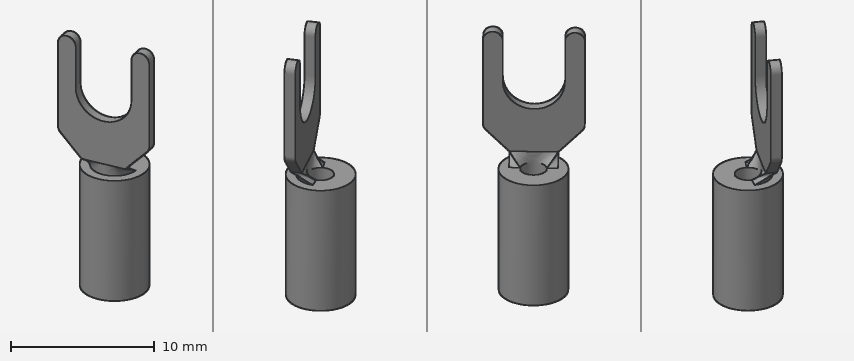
import cadquery as cq
import math


total_height = 19.79
fork_width = 7.11

sleeve_diameter = 4.88
sleeve_height = 9.51
bore_diameter = 1.86

sheet_thickness = 0.79
neck_height = 0.85
neck_end_angle = 5.0
slot_width = 4.34
slot_bottom_z = 13.73
shoulder_z = 12.25
shoulder_radius = 0.69

bore_radius = bore_diameter / 2
neck_radius = bore_radius + sheet_thickness
blade_back_y = -bore_radius
blade_front_y = -neck_radius
blade_base_z = sleeve_height + neck_height
half_fork = fork_width / 2
half_slot = slot_width / 2
tip_radius = (half_fork - half_slot) / 2
tip_center_z = total_height - tip_radius
prong_center_x = half_slot + tip_radius
slot_center_z = slot_bottom_z + half_slot


def make_sleeve():
    """Round tube with a through bore, standing on Z = 0."""
    return (
        cq.Workplane("XY")
        .circle(sleeve_diameter / 2)
        .circle(bore_radius)
        .extrude(sleeve_height)
    )


def make_blade():
    """Flat fork with round prong tips, a round-bottomed slot and tapered flanks."""
    outline = (
        cq.Workplane("XZ", origin=(0, blade_back_y, 0))
        .moveTo(-neck_radius, blade_base_z)
        .lineTo(neck_radius, blade_base_z)
        .lineTo(half_fork, shoulder_z)
        .lineTo(half_fork, tip_center_z)
        .threePointArc((prong_center_x, total_height), (half_slot, tip_center_z))
        .lineTo(half_slot, slot_center_z)
        .threePointArc((0, slot_bottom_z), (-half_slot, slot_center_z))
        .lineTo(-half_slot, tip_center_z)
        .threePointArc((-prong_center_x, total_height), (-half_fork, tip_center_z))
        .lineTo(-half_fork, shoulder_z)
        .close()
    )
    blade = outline.extrude(sheet_thickness)
    for side in (-1, 1):
        corner = cq.selectors.NearestToPointSelector(
            (side * half_fork, (blade_back_y + blade_front_y) / 2, shoulder_z)
        )
        blade = blade.edges("|Y").edges(corner).fillet(shoulder_radius)
    return blade


def arc_section_edges():
    """Closed chain of edges around the neck's arc-shaped foot: front, right, back, left."""
    end_angle = math.radians(neck_end_angle)
    end_x = math.cos(end_angle)
    end_y = -math.sin(end_angle)

    def foot_point(radius, x, y):
        return cq.Vector(radius * x, radius * y, sleeve_height)

    front_left = foot_point(neck_radius, -end_x, end_y)
    front_middle = foot_point(neck_radius, 0, -1)
    front_right = foot_point(neck_radius, end_x, end_y)
    back_right = foot_point(bore_radius, end_x, end_y)
    back_middle = foot_point(bore_radius, 0, -1)
    back_left = foot_point(bore_radius, -end_x, end_y)
    return [
        cq.Edge.makeThreePointArc(front_left, front_middle, front_right),
        cq.Edge.makeLine(front_right, back_right),
        cq.Edge.makeThreePointArc(back_right, back_middle, back_left),
        cq.Edge.makeLine(back_left, front_left),
    ]


def flat_section_edges():
    """Closed chain of edges around the blade base: front, right, back, left."""
    corners = [
        cq.Vector(-neck_radius, blade_front_y, blade_base_z),
        cq.Vector(neck_radius, blade_front_y, blade_base_z),
        cq.Vector(neck_radius, blade_back_y, blade_base_z),
        cq.Vector(-neck_radius, blade_back_y, blade_base_z),
    ]
    next_corners = corners[1:] + corners[:1]
    return [cq.Edge.makeLine(start, end) for start, end in zip(corners, next_corners)]


def make_neck():
    """Transition from the arc-shaped foot on the tube to the flat blade base."""
    foot = arc_section_edges()
    head = flat_section_edges()
    faces = [cq.Face.makeRuledSurface(low, high) for low, high in zip(foot, head)]
    for section in (foot, head):
        faces.append(cq.Face.makeFromWires(cq.Wire.assembleEdges(section)))
    return cq.Workplane(cq.Solid.makeSolid(cq.Shell.makeShell(faces)).fix())


result = make_sleeve().union(make_neck()).union(make_blade())